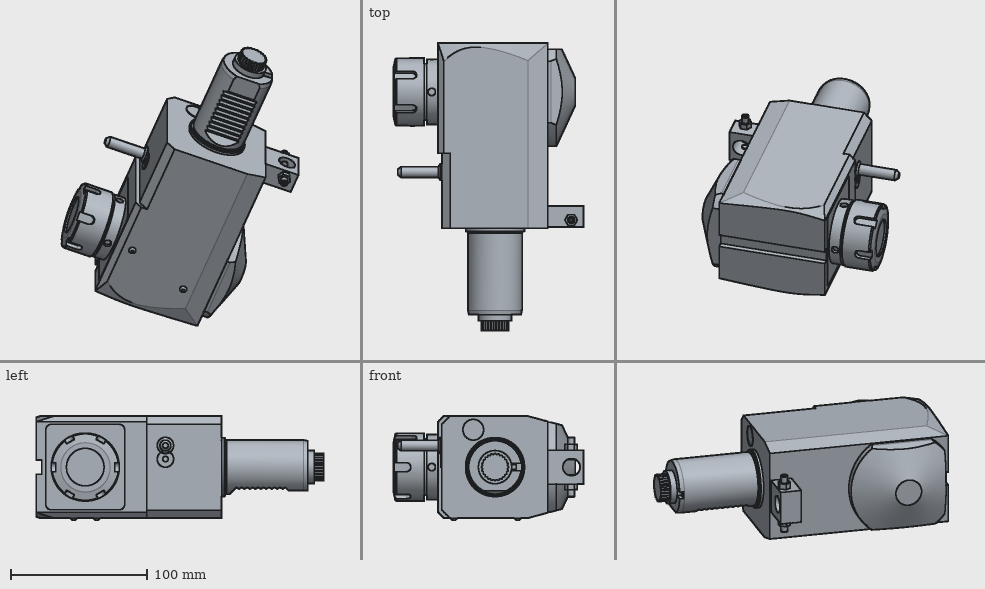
import cadquery as cq
import math


HOUSING_LENGTH = 136.0
HALF_HEIGHT = 37.5
LEFT_X = -42.0
STEP_LEFT_X = -39.0
STEP_Y = 55.0
RIGHT_X = 38.7
LEFT_CHAMFER = 4.4
STEP_CHAMFER = 6.0
TAPER_START_X = 24.0
TAPER_ANGLE = 15.0
RELIEF_APEX = (-20.4, 119.9, 41.8)
RELIEF_AXIS = (0.065, -0.186, -0.980)
RELIEF_HALF_ANGLE = 81.65
RELIEF_HEIGHT = 150.0
BACK_SLOT_WIDTH = 10.2
BACK_SLOT_DEPTH = 4.1
PANEL_SIZE_Y = 57.8
PANEL_SIZE_Z = 62.7
PANEL_RADIUS = 4.0
PANEL_DEPTH = 0.3
PLUG_X = -16.0
PLUG_Z = 27.4
PLUG_DIAMETER = 15.2
PLUG_DEPTH = 0.5

SPINDLE_Y = 100.0
NUT_FACE_X = -74.6
NUT_RIM_X = -73.2
NUT_BODY_X = -72.0
NUT_BACK_X = -52.0
COLLAR_FRONT_X = -50.0
NUT_RADIUS = 25.0
NUT_RIM_RADIUS = 24.4
NUT_FACE_RADIUS = 18.1
NUT_NECK_RADIUS = 20.8
COLLAR_RADIUS = 24.1
COLLET_RADIUS = 13.8
COLLET_DEPTH = 1.5
NUT_SLOT_COUNT = 6
NUT_SLOT_WIDTH = 6.6
NUT_SLOT_FLOOR = 21.6
NUT_SLOT_END_X = -61.8
NUT_LONG_SLOT_END_X = -57.6
NUT_LONG_SLOTS = (1, 2)
COLLAR_HOLE_COUNT = 4
COLLAR_HOLE_DIAMETER = 5.4
COLLAR_HOLE_X = -46.4
COLLAR_HOLE_DEPTH = 3.0

PIN_Y = 41.2
PIN_Z = 15.85
PIN_RADIUS = 4.0
PIN_TIP_X = -71.4
PIN_TIP_RADIUS = 2.0
PIN_TIP_LENGTH = 2.5
FLANGE_RADIUS = 6.0
FLANGE_X = -40.2
FLANGE_TOP_X = -41.6
NOZZLE_Z = 5.9
NOZZLE_RADIUS = 6.0
NOZZLE_HEIGHT = 1.0
NOZZLE_BORE = 4.0

SHANK_RADIUS = 20.0
SHANK_LENGTH = 63.3
SHANK_BEVEL_LENGTH = 3.3
SHANK_BEVEL = 0.7
COLLAR_LIP_RADIUS = 21.7
COLLAR_LIP_LENGTH = 2.6
COLLAR_LIP_CHAMFER = 0.6
UNDERCUT_RADIUS = 19.6
UNDERCUT_LENGTH = 1.1
HUB_RADIUS = 12.2
HUB_END = 68.0
SPLINE_END = 75.0
SPLINE_TIP_RADIUS = 10.1
SPLINE_ROOT_RADIUS = 9.2
SPLINE_TEETH = 24
RACK_PITCH = 4.0
RACK_TEETH = 9
RACK_START = 10.8
RACK_ROOT_Z = -14.9
RACK_TIP_Z = -16.1
RACK_FLAT_Z = -17.2
KEYWAY_WIDTH = 5.3
KEYWAY_DEPTH = 3.0
KEY_POCKET_SIZE = 3.4
KEY_POCKET_DEPTH = 6.0

COVER_RADIUS = 40.0
COVER_RIM_X = 45.0
COVER_TIP_X = 59.0
COVER_TIP_RADIUS = 9.8
COVER_LAND_X = 41.0
COVER_FLAT_Y = 31.4

BRACKET_END_X = 65.0
BRACKET_FRONT_Y = 0.8
BRACKET_BACK_Y = 16.4
BRACKET_HALF_HEIGHT = 12.4
BRACKET_HOLE_X = 56.0
BRACKET_HOLE_DIAMETER = 12.6
SCREW_X = 55.8
SCREW_Y = 6.1
SCREW_RADIUS = 2.5
SCREW_INNER_Z = 5.5
SCREW_OUTER_Z = 22.0
SCREW_CHAMFER = 0.5
SCREW_SOCKET = 2.4
SCREW_SOCKET_DEPTH = 1.5
NUT_CORNERS = 9.2
NUT_HEIGHT = 4.2

BOTTOM_SCREWS = ((-30.2, 91.5), (16.6, 108.5))
BOTTOM_SCREW_RADIUS = 2.6
BOTTOM_SCREW_TIP_RADIUS = 0.9
BOTTOM_SCREW_HEIGHT = 1.6

OVERLAP = 2.0


def tapered_z(x):
    """Half height of the tapered flanks at position x."""
    return HALF_HEIGHT - (x - TAPER_START_X) * math.tan(math.radians(TAPER_ANGLE))


def prism_along_y(upper, y_start, y_end):
    """Extrude along Y the outline made of the upper (x, z) points and their mirror image."""
    lower = [(x, -z) for x, z in reversed(upper)]
    section = cq.Workplane("XZ", origin=(0, y_start, 0)).polyline(upper + lower).close()
    return section.extrude(y_start - y_end)


def housing_prism(left_x, chamfer, y_start, y_end):
    """Housing cross section extruded along Y."""
    upper = [
        (left_x, HALF_HEIGHT - chamfer),
        (left_x + chamfer, HALF_HEIGHT),
        (TAPER_START_X, HALF_HEIGHT),
        (RIGHT_X, tapered_z(RIGHT_X)),
    ]
    return prism_along_y(upper, y_start, y_end)


def x_revolved(profile, y, z):
    """Turn a closed (x, radius) profile about the line parallel to X through y, z."""
    sketch = cq.Workplane("XY", origin=(0, y, z)).polyline(profile).close()
    return sketch.revolve(360, (0, 0, 0), (1, 0, 0))


def make_relief_cone():
    """Flat, tilted cone; keeping what lies inside it slopes the top back edge of the housing."""
    base_radius = RELIEF_HEIGHT * math.tan(math.radians(RELIEF_HALF_ANGLE))
    cone = cq.Solid.makeCone(
        0,
        base_radius,
        RELIEF_HEIGHT,
        pnt=cq.Vector(*RELIEF_APEX),
        dir=cq.Vector(*RELIEF_AXIS),
    )
    return cq.Workplane(cone)


def make_housing():
    rear = housing_prism(LEFT_X, LEFT_CHAMFER, STEP_Y, HOUSING_LENGTH)
    front = housing_prism(STEP_LEFT_X, STEP_CHAMFER, 0, STEP_Y)
    body = rear.union(front)
    relief = make_relief_cone()
    body = body.intersect(relief).intersect(relief.mirror("XY"))

    slot_length = 2 * (RIGHT_X - LEFT_X)
    slot = cq.Workplane("XY").box(slot_length, 2 * BACK_SLOT_DEPTH, BACK_SLOT_WIDTH)
    slot = slot.translate((0, HOUSING_LENGTH, 0))
    panel = (
        cq.Workplane("YZ", origin=(LEFT_X, SPINDLE_Y, 0))
        .rect(PANEL_SIZE_Y, PANEL_SIZE_Z)
        .extrude(PANEL_DEPTH)
        .edges("|X")
        .fillet(PANEL_RADIUS)
    )
    plug = cq.Workplane("XZ", origin=(PLUG_X, 0, PLUG_Z)).circle(PLUG_DIAMETER / 2).extrude(-PLUG_DEPTH)
    return body.cut(slot).cut(panel).cut(plug)


def make_nut_slot(end_x):
    """Cutter for one round-ended wrench slot on the -Y side of the clamping nut."""
    half_width = NUT_SLOT_WIDTH / 2
    round_x = end_x - half_width
    return (
        cq.Workplane("XZ", origin=(0, SPINDLE_Y - NUT_SLOT_FLOOR, 0))
        .moveTo(NUT_FACE_X, -half_width)
        .lineTo(round_x, -half_width)
        .threePointArc((end_x, 0), (round_x, half_width))
        .lineTo(NUT_FACE_X, half_width)
        .close()
        .extrude(NUT_RADIUS)
    )


def make_spindle():
    profile = [
        (NUT_FACE_X + COLLET_DEPTH, 0),
        (NUT_FACE_X + COLLET_DEPTH, COLLET_RADIUS),
        (NUT_FACE_X, COLLET_RADIUS),
        (NUT_FACE_X, NUT_FACE_RADIUS),
        (NUT_RIM_X, NUT_RIM_RADIUS),
        (NUT_BODY_X, NUT_RADIUS),
        (NUT_BACK_X, NUT_RADIUS),
        (NUT_BACK_X, NUT_NECK_RADIUS),
        (COLLAR_FRONT_X, NUT_NECK_RADIUS),
        (COLLAR_FRONT_X, COLLAR_RADIUS),
        (LEFT_X + OVERLAP, COLLAR_RADIUS),
        (LEFT_X + OVERLAP, 0),
    ]
    spindle = x_revolved(profile, SPINDLE_Y, 0)

    axis_start = (0, SPINDLE_Y, 0)
    axis_end = (1, SPINDLE_Y, 0)
    for index in range(NUT_SLOT_COUNT):
        end_x = NUT_LONG_SLOT_END_X if index in NUT_LONG_SLOTS else NUT_SLOT_END_X
        slot = make_nut_slot(end_x)
        spindle = spindle.cut(slot.rotate(axis_start, axis_end, -index * 360 / NUT_SLOT_COUNT))

    hole_floor_y = SPINDLE_Y - COLLAR_RADIUS + COLLAR_HOLE_DEPTH
    hole = (
        cq.Workplane("XZ", origin=(COLLAR_HOLE_X, hole_floor_y, 0))
        .circle(COLLAR_HOLE_DIAMETER / 2)
        .extrude(COLLAR_RADIUS)
    )
    for index in range(COLLAR_HOLE_COUNT):
        spindle = spindle.cut(hole.rotate(axis_start, axis_end, index * 360 / COLLAR_HOLE_COUNT))
    return spindle


def make_pin():
    root_x = STEP_LEFT_X + OVERLAP
    profile = [
        (PIN_TIP_X, 0),
        (PIN_TIP_X, PIN_TIP_RADIUS),
        (PIN_TIP_X + PIN_TIP_LENGTH, PIN_RADIUS),
        (FLANGE_TOP_X, PIN_RADIUS),
        (FLANGE_X, FLANGE_RADIUS),
        (STEP_LEFT_X, PIN_RADIUS),
        (root_x, PIN_RADIUS),
        (root_x, 0),
    ]
    return x_revolved(profile, PIN_Y, PIN_Z)


def make_nozzle():
    return (
        cq.Workplane("YZ", origin=(STEP_LEFT_X - NOZZLE_HEIGHT, PIN_Y, NOZZLE_Z))
        .circle(NOZZLE_RADIUS)
        .circle(NOZZLE_BORE / 2)
        .extrude(NOZZLE_HEIGHT)
    )


def make_shank_core():
    bevel_y = -(SHANK_LENGTH - SHANK_BEVEL_LENGTH)
    undercut_end = COLLAR_LIP_LENGTH + UNDERCUT_LENGTH
    profile = [
        (0, OVERLAP),
        (COLLAR_LIP_RADIUS, OVERLAP),
        (COLLAR_LIP_RADIUS, COLLAR_LIP_CHAMFER - COLLAR_LIP_LENGTH),
        (COLLAR_LIP_RADIUS - COLLAR_LIP_CHAMFER, -COLLAR_LIP_LENGTH),
        (UNDERCUT_RADIUS, -COLLAR_LIP_LENGTH),
        (UNDERCUT_RADIUS, -undercut_end),
        (SHANK_RADIUS, -undercut_end),
        (SHANK_RADIUS, bevel_y),
        (SHANK_RADIUS - SHANK_BEVEL, -SHANK_LENGTH),
        (HUB_RADIUS, -SHANK_LENGTH),
        (HUB_RADIUS, -HUB_END),
        (0, -HUB_END),
    ]
    return cq.Workplane("XY").polyline(profile).close().revolve(360, (0, 0, 0), (0, 1, 0))


def make_rack_cutter():
    """Rack teeth and plain flat cut across the underside of the shank."""
    lead_in = SHANK_RADIUS + RACK_ROOT_Z
    below_z = -SHANK_RADIUS - OVERLAP
    profile = [
        (-RACK_START + lead_in + OVERLAP, below_z),
        (-RACK_START, RACK_ROOT_Z),
    ]
    for index in range(RACK_TEETH):
        root_y = -RACK_START - index * RACK_PITCH
        profile.append((root_y - RACK_PITCH / 2, RACK_TIP_Z))
        profile.append((root_y - RACK_PITCH, RACK_ROOT_Z))
    last_root_y = -RACK_START - RACK_TEETH * RACK_PITCH
    profile += [
        (last_root_y + RACK_FLAT_Z - RACK_ROOT_Z, RACK_FLAT_Z),
        (-SHANK_LENGTH - OVERLAP, RACK_FLAT_Z),
        (-SHANK_LENGTH - OVERLAP, below_z),
    ]
    return cq.Workplane("YZ").polyline(profile).close().extrude(SHANK_RADIUS, both=True)


def make_keyway():
    """Radial keyway in the shank end face, with a deeper square pocket at its inner end."""
    slot = cq.Workplane("XZ", origin=(0, KEYWAY_DEPTH - SHANK_LENGTH, 0))
    slot = slot.center((HUB_RADIUS + SHANK_RADIUS + OVERLAP) / 2, 0)
    slot = slot.rect(SHANK_RADIUS + OVERLAP - HUB_RADIUS, KEYWAY_WIDTH).extrude(KEYWAY_DEPTH)
    pocket = cq.Workplane("XZ", origin=(0, KEY_POCKET_DEPTH - SHANK_LENGTH, 0))
    pocket = pocket.center(HUB_RADIUS + KEY_POCKET_SIZE / 2, 0)
    pocket = pocket.rect(KEY_POCKET_SIZE, KEY_POCKET_SIZE).extrude(KEY_POCKET_DEPTH)
    return slot.union(pocket)


def make_spline():
    points = []
    half_step = math.pi / SPLINE_TEETH
    for index in range(2 * SPLINE_TEETH):
        radius = SPLINE_ROOT_RADIUS if index % 2 else SPLINE_TIP_RADIUS
        angle = index * half_step
        points.append((radius * math.cos(angle), radius * math.sin(angle)))
    sketch = cq.Workplane("XZ", origin=(0, OVERLAP - HUB_END, 0)).polyline(points).close()
    return sketch.extrude(SPLINE_END - HUB_END + OVERLAP)


def make_shank():
    return make_shank_core().cut(make_rack_cutter()).cut(make_keyway()).union(make_spline())


def make_cover():
    """Conical cover, trimmed by the tapered flanks of the housing and by a flat at the back."""
    inner_x = RIGHT_X - OVERLAP
    profile = [
        (inner_x, 0),
        (inner_x, COVER_RADIUS),
        (COVER_RIM_X, COVER_RADIUS),
        (COVER_TIP_X, COVER_TIP_RADIUS),
        (COVER_TIP_X, 0),
    ]
    cover = x_revolved(profile, SPINDLE_Y, 0)
    upper = [
        (inner_x, tapered_z(COVER_LAND_X)),
        (COVER_LAND_X, tapered_z(COVER_LAND_X)),
        (COVER_TIP_X, tapered_z(COVER_TIP_X)),
    ]
    flank_limit = prism_along_y(upper, SPINDLE_Y - COVER_RADIUS, SPINDLE_Y + COVER_FLAT_Y)
    return cover.intersect(flank_limit)


def make_bracket_screw(side):
    """Set screw with its lock nut, above (side = 1) or below (side = -1) the bracket."""
    screw = (
        cq.Workplane("XY", origin=(SCREW_X, SCREW_Y, SCREW_INNER_Z))
        .circle(SCREW_RADIUS)
        .extrude(SCREW_OUTER_Z - SCREW_INNER_Z)
        .faces(">Z")
        .chamfer(SCREW_CHAMFER)
        .faces(">Z")
        .workplane()
        .polygon(6, SCREW_SOCKET)
        .cutBlind(-SCREW_SOCKET_DEPTH)
    )
    nut = (
        cq.Workplane("XY", origin=(SCREW_X, SCREW_Y, BRACKET_HALF_HEIGHT))
        .polygon(6, NUT_CORNERS)
        .extrude(NUT_HEIGHT)
    )
    assembly = screw.union(nut)
    if side < 0:
        assembly = assembly.mirror("XY")
    return assembly


def make_bracket():
    inner_x = RIGHT_X - OVERLAP
    bracket = cq.Workplane("XY").box(
        BRACKET_END_X - inner_x,
        BRACKET_BACK_Y - BRACKET_FRONT_Y,
        2 * BRACKET_HALF_HEIGHT,
        centered=(False, False, True),
    )
    bracket = bracket.translate((inner_x, BRACKET_FRONT_Y, 0))
    hole = (
        cq.Workplane("XZ", origin=(BRACKET_HOLE_X, 0, 0))
        .circle(BRACKET_HOLE_DIAMETER / 2)
        .extrude(-BRACKET_BACK_Y - OVERLAP)
    )
    bracket = bracket.cut(hole)
    for side in (1, -1):
        bracket = bracket.union(make_bracket_screw(side))
    return bracket


def make_bottom_screw(x, y):
    head = cq.Solid.makeCone(
        BOTTOM_SCREW_RADIUS,
        BOTTOM_SCREW_TIP_RADIUS,
        BOTTOM_SCREW_HEIGHT,
        pnt=cq.Vector(x, y, -HALF_HEIGHT),
        dir=cq.Vector(0, 0, -1),
    )
    return cq.Workplane(head)


result = make_housing()
for piece in (make_spindle(), make_pin(), make_nozzle(), make_shank(), make_cover(), make_bracket()):
    result = result.union(piece)
for screw_x, screw_y in BOTTOM_SCREWS:
    result = result.union(make_bottom_screw(screw_x, screw_y))